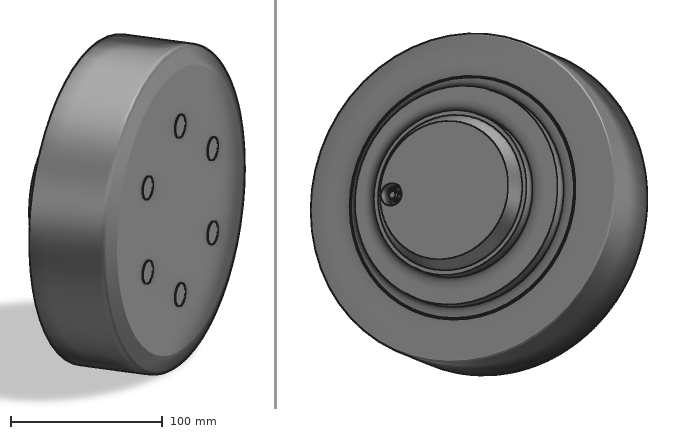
import cadquery as cq
import math

outer_dia = 220.0
step_length = 10.0
nose_dia = 92.5
nose_angle = 30.0
hub_dia = 110.0
flange_dia = 146.0
body_length = 88.0
front_round = 1.5
back_round = 3.5
back_taper_depth = 4.0
back_taper_width = 13.2

groove_inner_dia = 160.5
groove_floor_dia = 162.0
groove_outer_dia = 162.8
groove_depth = 0.9

boss_count = 6
boss_dia = 15.6
boss_circle_radius = 57.9
boss_height = 0.7

recess_dia = 15.0
recess_depth = 15.0
nipple_offset = 38.0
nipple_tip_depth = 1.3
hex_across_flats = 7.5
hex_height = 3.0
hex_sides = 6
nipple_tip_dia = 4.8
nipple_head_dia = 6.2
nipple_neck_dia = 4.8
nipple_cone_length = 2.2

hub_x = step_length
flange_x = hub_x + step_length
roller_x = flange_x + step_length


def disc(x, diameter, length, y=0.0, z=0.0):
    """Cylinder along +X that starts at x, centred on (y, z)."""
    return cq.Workplane("YZ", origin=(x, y, z)).circle(diameter / 2).extrude(length)


def revolve_about_x(half_profile):
    """Solid of revolution from (x, radius) points that start and end on the axis."""
    return cq.Workplane("XY").polyline(half_profile).close().revolve(360, (0, 0), (1, 0))


def fillet_rim(solid, x, radius):
    """Round the circular edge of the roller that lies in the plane at x."""
    rim = cq.selectors.NearestToPointSelector((x, 0, 0))
    return solid.edges("%CIRCLE").edges(rim).fillet(radius)


def make_roller():
    radius = outer_dia / 2
    taper_x = body_length - back_taper_depth
    roller = revolve_about_x([
        (roller_x, 0),
        (roller_x, radius),
        (taper_x, radius),
        (body_length, radius - back_taper_width),
        (body_length, 0),
    ])
    roller = fillet_rim(roller, taper_x, back_round)
    return fillet_rim(roller, roller_x, front_round)


def make_groove():
    """Ring to cut away, with a sloped inner wall and a straight outer wall."""
    floor_x = roller_x + groove_depth
    ring = disc(roller_x, groove_outer_dia, groove_depth)
    core = revolve_about_x([
        (roller_x, 0),
        (roller_x, groove_inner_dia / 2),
        (floor_x, groove_floor_dia / 2),
        (floor_x, 0),
    ])
    return ring.cut(core)


def make_nose():
    nose_radius = nose_dia / 2
    cone_base_radius = nose_radius + step_length * math.tan(math.radians(nose_angle))
    return revolve_about_x([
        (0, 0),
        (0, nose_radius),
        (hub_x, cone_base_radius),
        (hub_x, hub_dia / 2),
        (flange_x, hub_dia / 2),
        (flange_x, flange_dia / 2),
        (roller_x, flange_dia / 2),
        (roller_x, 0),
    ])


def make_bosses():
    bosses = cq.Workplane("YZ", origin=(body_length, 0, 0)).polarArray(
        boss_circle_radius, 90, 360, boss_count
    )
    return bosses.circle(boss_dia / 2).extrude(boss_height)


def make_nipple():
    head_x = nipple_tip_depth + nipple_cone_length
    neck_x = head_x + nipple_cone_length
    stem = revolve_about_x([
        (nipple_tip_depth, 0),
        (nipple_tip_depth, nipple_tip_dia / 2),
        (head_x, nipple_head_dia / 2),
        (neck_x, nipple_neck_dia / 2),
        (recess_depth, nipple_neck_dia / 2),
        (recess_depth, 0),
    ])
    across_corners = hex_across_flats / math.cos(math.pi / hex_sides)
    hexagon = (
        cq.Workplane("YZ", origin=(recess_depth - hex_height, 0, 0))
        .transformed(rotate=(0, 0, 90))
        .polygon(hex_sides, across_corners)
        .extrude(hex_height)
    )
    return stem.union(hexagon).translate((0, nipple_offset, 0))


body = make_nose().union(make_roller()).union(make_bosses())
recess = disc(0, recess_dia, recess_depth, y=nipple_offset)
result = body.cut(make_groove()).cut(recess).union(make_nipple())